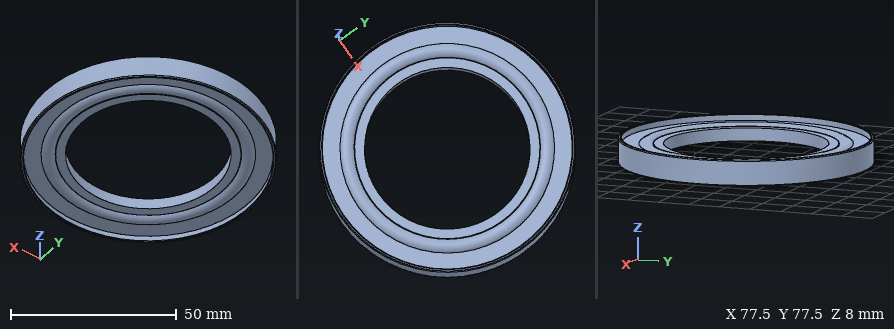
import cadquery as cq

OUTER_RADIUS = 38.75
RIM_HEIGHT = 8.0
RIM_INNER_RADIUS = 37.75
RIM_CHAMFER = 0.3
RIM_INNER_CHAMFER = 0.2
WEB_THICKNESS = 3.9
BORE_RADIUS = 24.95
INNER_RING_RADIUS = 28.1
INNER_RING_THICKNESS = 4.0
INNER_RING_CHAMFER = 0.15
SEAL_CENTRE_RADIUS = 30.3
SEAL_EXPOSED_HALF_WIDTH = 2.1

HALF_RIM = RIM_HEIGHT / 2
HALF_WEB = WEB_THICKNESS / 2
SEAL_SECTION_RADIUS = (HALF_WEB**2 + SEAL_EXPOSED_HALF_WIDTH**2) ** 0.5


def make_seal():
    """O-ring of round section, standing proud of both web faces."""
    return (
        cq.Workplane("XZ")
        .center(SEAL_CENTRE_RADIUS, 0)
        .circle(SEAL_SECTION_RADIUS)
        .revolve(360, (-SEAL_CENTRE_RADIUS, 0), (-SEAL_CENTRE_RADIUS, 1))
    )


def make_inner_ring():
    """Inner support ring with chamfered outer edges and a round groove for the seal."""
    disc = (
        cq.Workplane("XY")
        .circle(INNER_RING_RADIUS)
        .extrude(INNER_RING_THICKNESS / 2, both=True)
        .edges("%CIRCLE")
        .chamfer(INNER_RING_CHAMFER)
    )
    bore = cq.Workplane("XY").circle(BORE_RADIUS).extrude(INNER_RING_THICKNESS / 2, both=True)
    return disc.cut(bore).cut(make_seal())


def make_outer_ring():
    """Outer ring: a web that holds the seal and a taller chamfered rim."""
    profile = (
        cq.Workplane("XZ")
        .moveTo(SEAL_CENTRE_RADIUS, -HALF_WEB)
        .lineTo(RIM_INNER_RADIUS, -HALF_WEB)
        .lineTo(RIM_INNER_RADIUS, -HALF_RIM + RIM_INNER_CHAMFER)
        .lineTo(RIM_INNER_RADIUS + RIM_INNER_CHAMFER, -HALF_RIM)
        .lineTo(OUTER_RADIUS - RIM_CHAMFER, -HALF_RIM)
        .lineTo(OUTER_RADIUS, -HALF_RIM + RIM_CHAMFER)
        .lineTo(OUTER_RADIUS, HALF_RIM - RIM_CHAMFER)
        .lineTo(OUTER_RADIUS - RIM_CHAMFER, HALF_RIM)
        .lineTo(RIM_INNER_RADIUS + RIM_INNER_CHAMFER, HALF_RIM)
        .lineTo(RIM_INNER_RADIUS, HALF_RIM - RIM_INNER_CHAMFER)
        .lineTo(RIM_INNER_RADIUS, HALF_WEB)
        .lineTo(SEAL_CENTRE_RADIUS, HALF_WEB)
        .close()
    )
    return profile.revolve(360, (0, 0), (0, 1)).cut(make_seal())


inner_ring = make_inner_ring()
seal = make_seal()
outer_ring = make_outer_ring()

result = cq.Compound.makeCompound(
    [inner_ring.solids().val(), seal.val(), outer_ring.solids().val()]
)